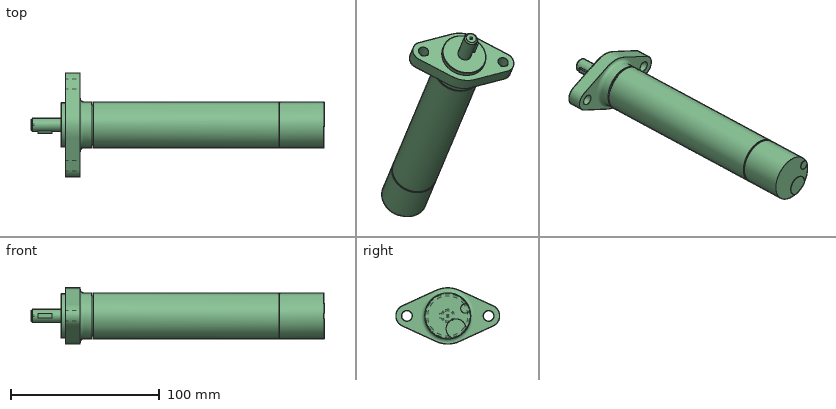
import cadquery as cq
import math

SHAFT_LENGTH = 20.0
PILOT_LENGTH = 3.0
FLANGE_THICKNESS = 10.0
CAP_END = 197.0
FLANGE_START = SHAFT_LENGTH + PILOT_LENGTH
FLANGE_END = FLANGE_START + FLANGE_THICKNESS

SHAFT_DIAMETER = 9.0
SHAFT_CHAMFER = 1.0
CENTRE_HOLE_DIAMETER = 1.0
CENTRE_HOLE_DEPTH = 2.0
COUNTERSINK_DIAMETER = 2.0
COUNTERSINK_ANGLE = 60.0
KEY_START = 4.5
KEY_LENGTH = 9.5
KEY_WIDTH = 3.0
KEY_REACH = 5.7

PILOT_DIAMETER = 30.0
PILOT_CHAMFER = 0.25
BODY_DIAMETER = 31.0
FILLET_RADIUS = 2.5

FRONT_GROOVE_START = 40.8
FRONT_GROOVE_WIDTH = 1.0
FRONT_GROOVE_DIAMETER = 27.0
REAR_GROOVE_START = 166.8
REAR_GROOVE_WIDTH = 0.5
REAR_GROOVE_DIAMETER = 30.0

FLANGE_LENGTH = 70.0
FLANGE_CROWN_RADIUS = 19.0
FLANGE_EAR_RADIUS = 7.5
FLANGE_HOLE_DIAMETER = 7.0
EAR_OFFSET = FLANGE_LENGTH / 2 - FLANGE_EAR_RADIUS

PAD_HEIGHT = 0.3
REAR_PADS = [
    (13.36, 5.6, -8.7),
    (6.4, 11.9, 5.0),
]


def cylinder(diameter, start, length, y=0.0, z=0.0):
    """Solid cylinder along +X, centred at (y, z)."""
    plane = cq.Workplane("YZ", origin=(start, y, z))
    return plane.circle(diameter / 2).extrude(length)


def make_shaft():
    shaft = cylinder(SHAFT_DIAMETER, 0, FLANGE_START)
    shaft = shaft.faces("<X").chamfer(SHAFT_CHAMFER)
    return shaft.faces("<X").workplane().cskHole(
        CENTRE_HOLE_DIAMETER, COUNTERSINK_DIAMETER, COUNTERSINK_ANGLE, CENTRE_HOLE_DEPTH
    )


def make_key():
    """Parallel key standing out of the -Y side of the shaft."""
    seat = SHAFT_DIAMETER / 4
    height = KEY_REACH - seat
    return cq.Workplane("XY").box(KEY_LENGTH, height, KEY_WIDTH).translate(
        (KEY_START + KEY_LENGTH / 2, -(seat + height / 2), 0)
    )


def make_pilot():
    pilot = cylinder(PILOT_DIAMETER, SHAFT_LENGTH, PILOT_LENGTH)
    return pilot.faces("<X").chamfer(PILOT_CHAMFER)


def make_flange():
    """Two-ear plate: crown arcs joined to ear arcs by their common tangents."""
    lean = math.asin((FLANGE_CROWN_RADIUS - FLANGE_EAR_RADIUS) / EAR_OFFSET)
    crown_y = FLANGE_CROWN_RADIUS * math.sin(lean)
    crown_z = FLANGE_CROWN_RADIUS * math.cos(lean)
    ear_y = EAR_OFFSET + FLANGE_EAR_RADIUS * math.sin(lean)
    ear_z = FLANGE_EAR_RADIUS * math.cos(lean)
    half_length = FLANGE_LENGTH / 2
    flange = (
        cq.Workplane("YZ", origin=(FLANGE_START, 0, 0))
        .moveTo(-crown_y, crown_z)
        .threePointArc((0, FLANGE_CROWN_RADIUS), (crown_y, crown_z))
        .lineTo(ear_y, ear_z)
        .threePointArc((half_length, 0), (ear_y, -ear_z))
        .lineTo(crown_y, -crown_z)
        .threePointArc((0, -FLANGE_CROWN_RADIUS), (-crown_y, -crown_z))
        .lineTo(-ear_y, -ear_z)
        .threePointArc((-half_length, 0), (-ear_y, ear_z))
        .close()
        .extrude(FLANGE_THICKNESS)
    )
    for side in (-1, 1):
        hole = cylinder(FLANGE_HOLE_DIAMETER, FLANGE_START, FLANGE_THICKNESS, y=side * EAR_OFFSET)
        flange = flange.cut(hole)
    return flange


def make_flange_fillet():
    """Concave ring that blends the back of the flange into the body."""
    body_radius = BODY_DIAMETER / 2
    outer_radius = body_radius + FILLET_RADIUS
    fillet_end = FLANGE_END + FILLET_RADIUS
    sag = FILLET_RADIUS * (1 - math.sqrt(0.5))
    return (
        cq.Workplane("XY")
        .moveTo(FLANGE_END, 0)
        .lineTo(FLANGE_END, outer_radius)
        .threePointArc((FLANGE_END + sag, body_radius + sag), (fillet_end, body_radius))
        .lineTo(fillet_end, 0)
        .close()
        .revolve(360, (0, 0, 0), (1, 0, 0))
    )


def make_groove(start, width, floor_diameter):
    """Ring of material that a groove removes from the body."""
    blank = cylinder(BODY_DIAMETER, start, width)
    return blank.cut(cylinder(floor_diameter, start, width))


def make_body():
    body = cylinder(BODY_DIAMETER, FLANGE_START, CAP_END - FLANGE_START)
    body = body.cut(make_groove(FRONT_GROOVE_START, FRONT_GROOVE_WIDTH, FRONT_GROOVE_DIAMETER))
    return body.cut(make_groove(REAR_GROOVE_START, REAR_GROOVE_WIDTH, REAR_GROOVE_DIAMETER))


def make_rear_pad(diameter, y, z):
    """Raised pad on the rear face, trimmed to the outline of the body."""
    pad = cylinder(diameter, CAP_END, PAD_HEIGHT, y, z)
    return pad.intersect(cylinder(BODY_DIAMETER, CAP_END, PAD_HEIGHT))


result = make_body()
for section in (make_flange_fillet(), make_flange(), make_pilot(), make_shaft(), make_key()):
    result = result.union(section)
for pad_diameter, pad_y, pad_z in REAR_PADS:
    result = result.union(make_rear_pad(pad_diameter, pad_y, pad_z))